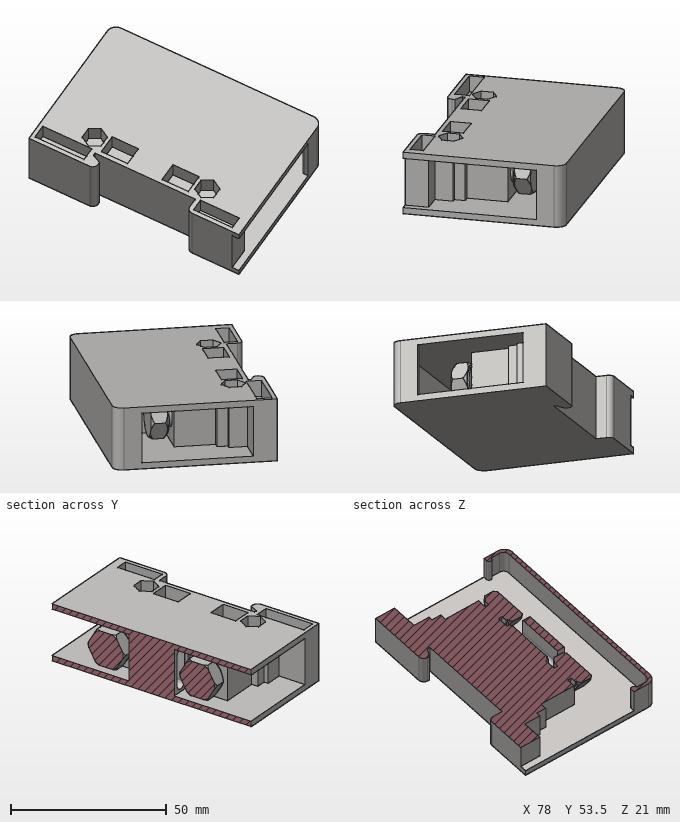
import cadquery as cq
import math


length = 78.0
height = 53.5
width = 21.0
corner_radius = 3.3
plate = 2.1
mid_x = length / 2
mid_z = width / 2
inside_width = width - 2 * plate

notch_depth = 5.45
notch_left = 21.4
notch_right = 58.65
foot_radius = 1.9
hook_tip = 24.6
hook_round = 1.95
hook_radius = 2.1
hook_top = 2.9
hook_root = 4.5

cap_wall = 1.4
cap_roof = 1.6
cap_inner_radius = 2.1
cap_bottom = 44.4
lip_radius = 1.0

floor_y = 7.9
ledge_y = 14.0
block_base = 17.55
block_top = 31.1
foot_ledge_x = 10.15
middle_ledge_x = 11.7
block_x = 14.1
end_notch = 2.5

bar_x = 28.85
bar_top = 32.2
wall_x = 30.0
wall_top = 39.6
slot_length = 14.8
slot_width = 4.05
slot_y = 34.6

bolt_x = 21.05
shank_diameter = 7.2
collar_diameter = 11.5
collar_bottom = 32.45
head_bottom = 33.0
head_top = 38.5
head_flats = 12.8

opening_depth = 5.4
hex_flats = 7.0
hex_x = 18.1
hex_y = 11.0
pocket_x = 22.85
pocket_length = 9.75
pocket_y = 7.0
foot_slot_y = 1.5
left_slot_x = 1.4
left_slot_length = 18.25
left_slot_height = 5.0
right_slot_x = 60.3
right_slot_length = 14.4
right_slot_height = 4.45


def box(x0, x1, y0, y1, z0, z1):
    """Box between two opposite corners."""
    return cq.Workplane("XY").box(x1 - x0, y1 - y0, z1 - z0, centered=False).translate((x0, y0, z0))


def inside_box(x0, x1, y0, y1):
    """Box filling the gap between the side plates."""
    return box(x0, x1, y0, y1, plate, width - plate)


def both_ends(solid):
    """A solid together with its mirror image about the middle of the length."""
    return solid.union(solid.mirror("YZ", (mid_x, 0, 0)))


def hexagon(flats):
    """Corner points of a hexagon with two corners on its local Y axis."""
    radius = flats / math.sqrt(3)
    angles = [math.radians(30 + 60 * i) for i in range(6)]
    return [(radius * math.cos(a), radius * math.sin(a)) for a in angles]


def housing():
    """Solid outline with rounded cap corners, rail notch and clip feet."""
    arc_offset = foot_radius * (1 - math.sqrt(0.5))
    outline = (
        cq.Workplane("XY")
        .moveTo(0, 0)
        .lineTo(hook_tip - hook_round, 0)
        .radiusArc((hook_tip, hook_round), -hook_radius)
        .lineTo(hook_tip, hook_top)
        .lineTo(notch_left, hook_root)
        .lineTo(notch_left, notch_depth)
        .lineTo(notch_right, notch_depth)
        .lineTo(notch_right, foot_radius)
        .threePointArc((notch_right + arc_offset, arc_offset), (notch_right + foot_radius, 0))
        .lineTo(length, 0)
        .lineTo(length, height)
        .lineTo(0, height)
        .close()
    )
    return outline.extrude(width).edges("|Z and >Y").fillet(corner_radius)


def cavity():
    """Space between the side plates, open at both ends below the cap."""
    lower = inside_box(0, length, floor_y, cap_bottom)
    upper = inside_box(cap_wall, length - cap_wall, cap_bottom, height - cap_roof)
    upper = upper.edges("|Z and >Y").fillet(cap_inner_radius)
    end_opening = inside_box(length - end_notch, length, 0, cap_bottom)
    return lower.union(upper).union(end_opening)


def snap_lip():
    """Rounded lip on the inside of the cap at the -X end."""
    root = inside_box(0, cap_wall, cap_bottom, cap_bottom + 2 * lip_radius)
    nose = (
        cq.Workplane("XY", origin=(cap_wall, cap_bottom + lip_radius, plate))
        .circle(lip_radius)
        .extrude(inside_width)
    )
    return root.union(nose)


def terminal_block():
    """Stepped block, contact bar and slotted centre wall."""
    steps = [
        (foot_ledge_x, floor_y, ledge_y),
        (middle_ledge_x, ledge_y, block_base),
        (block_x, block_base, block_top),
        (bar_x, block_top, bar_top),
    ]
    block = inside_box(wall_x, length - wall_x, floor_y, wall_top)
    for x, bottom, top in steps:
        block = block.union(inside_box(x, length - x, bottom, top))
    slot = (
        cq.Workplane("YZ")
        .center(slot_y, mid_z)
        .slot2D(slot_length, slot_width, 90)
        .extrude(length)
    )
    return block.cut(slot)


def bolt():
    """Bolt along Y: chamfered hex head on a round collar and shank."""
    def upward(y0):
        plane = cq.Plane(origin=(bolt_x, y0, mid_z), xDir=(0, 0, 1), normal=(0, 1, 0))
        return cq.Workplane(plane)

    head_height = head_top - head_bottom
    corner = head_flats / math.sqrt(3)
    face_radius = head_flats / 2
    drop = corner - face_radius
    turned = (
        cq.Workplane("XY")
        .polyline([
            (0, 0),
            (face_radius, 0),
            (corner, drop),
            (corner, head_height - drop),
            (face_radius, head_height),
            (0, head_height),
        ])
        .close()
        .revolve(360, (0, 0, 0), (0, 1, 0))
        .translate((bolt_x, head_bottom, mid_z))
    )
    hex_bar = upward(head_bottom).polyline(hexagon(head_flats)).close().extrude(head_height)
    head = hex_bar.intersect(turned)
    collar = upward(collar_bottom).circle(collar_diameter / 2).extrude(head_bottom - collar_bottom)
    shank = upward(block_base).circle(shank_diameter / 2).extrude(collar_bottom - block_base)
    return head.union(collar).union(shank)


def plate_openings():
    """Hexagonal recesses, rectangular pockets and foot slots."""
    def pocket(x, y, size_x, size_y):
        return box(x, x + size_x, y, y + size_y, width - opening_depth, width)

    hex_recess = (
        cq.Workplane("XY", origin=(hex_x, hex_y, width))
        .polyline(hexagon(hex_flats))
        .close()
        .extrude(-opening_depth)
    )
    block_pocket = pocket(pocket_x, pocket_y, pocket_length, ledge_y - pocket_y)
    left_slot = pocket(left_slot_x, foot_slot_y, left_slot_length, left_slot_height)
    right_slot = pocket(right_slot_x, foot_slot_y, right_slot_length, right_slot_height)
    return both_ends(hex_recess.union(block_pocket)).union(left_slot).union(right_slot)


result = (
    housing()
    .cut(cavity())
    .union(both_ends(snap_lip()))
    .union(terminal_block())
    .union(both_ends(bolt()))
    .cut(plate_openings())
)